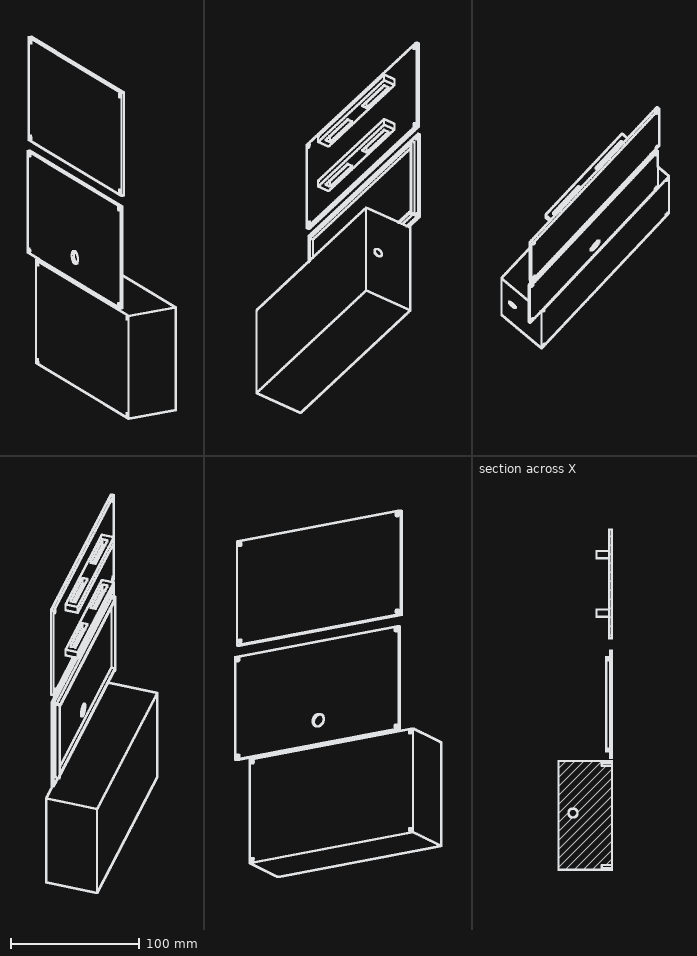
import cadquery as cq

plate_width = 150.0
total_height = 265.5

box_left = 13.3
box_depth = 42.0
box_height = 85.0
box_screw_diameter = 2.18
box_screw_inset = 2.7
box_screw_depth = 8.0
cable_hole_diameter = 7.0
cable_hole_y = 30.5
cable_hole_z = 44.3
cable_hole_depth = 5.3

cover_screw_diameter = 2.7

middle_bottom = 87.0
middle_height = 84.0
middle_thickness = 1.9
middle_screw_inset = 2.5
window_diameter = 10.0
window_x = 76.2
window_z = middle_bottom + 19.5
lip_inset = 5.0
lip_depth = 3.0
lip_width = 1.3

upper_left = 1.5
upper_height = 85.0
upper_bottom = total_height - upper_height
upper_thickness = 2.5
upper_screw_inset = 3.0
bar_length = 90.0
bar_depth = 9.8
bar_height = 5.8
bar_edge_gap = 16.7
slot_length = 30.0
slot_end_gap = 5.0
slot_front = 4.5
slot_depth = 4.2


def block(x, y, z, width, depth, height):
    """Box placed by its left, front, bottom corner."""
    return cq.Workplane("XY").box(width, depth, height, centered=False).translate((x, y, z))


def hole_along_y(x, z, diameter, depth):
    """Cylinder running from the front face (Y = 0) toward +Y."""
    return cq.Workplane("XZ", origin=(x, 0, z)).circle(diameter / 2).extrude(-depth)


def cut_corner_holes(body, left, bottom, height, inset, diameter, depth):
    """Cut a screw hole near each corner of a front face."""
    for x in (left + inset, left + plate_width - inset):
        for z in (bottom + inset, bottom + height - inset):
            body = body.cut(hole_along_y(x, z, diameter, depth))
    return body


def make_box():
    body = block(box_left, 0, 0, plate_width, box_depth, box_height)
    body = cut_corner_holes(
        body, box_left, 0, box_height, box_screw_inset, box_screw_diameter, box_screw_depth
    )
    cable_hole = (
        cq.Workplane("YZ", origin=(box_left, cable_hole_y, cable_hole_z))
        .circle(cable_hole_diameter / 2)
        .extrude(cable_hole_depth)
    )
    return body.cut(cable_hole)


def make_middle_cover():
    body = block(0, 0, middle_bottom, plate_width, middle_thickness, middle_height)

    strip_bottom = middle_bottom + lip_inset
    strip_height = middle_height - 2 * lip_inset
    for x in (lip_inset, plate_width - lip_inset - lip_width):
        body = body.union(
            block(x, middle_thickness, strip_bottom, lip_width, lip_depth, strip_height)
        )
    rail_left = lip_inset + lip_width
    rail_length = plate_width - 2 * rail_left
    rail_bottoms = (strip_bottom + lip_width, strip_bottom + strip_height - 2 * lip_width)
    for z in rail_bottoms:
        body = body.union(
            block(rail_left, middle_thickness, z, rail_length, lip_depth, lip_width)
        )

    body = body.cut(hole_along_y(window_x, window_z, window_diameter, middle_thickness))
    return cut_corner_holes(
        body, 0, middle_bottom, middle_height,
        middle_screw_inset, cover_screw_diameter, middle_thickness,
    )


def make_upper_cover():
    body = block(upper_left, 0, upper_bottom, plate_width, upper_thickness, upper_height)

    bar_left = upper_left + (plate_width - bar_length) / 2
    slot_lefts = (
        bar_left + slot_end_gap,
        bar_left + bar_length - slot_end_gap - slot_length,
    )
    bar_bottoms = (
        upper_bottom + bar_edge_gap,
        total_height - bar_edge_gap - bar_height,
    )
    for z in bar_bottoms:
        bar = block(bar_left, upper_thickness, z, bar_length, bar_depth, bar_height)
        for x in slot_lefts:
            bar = bar.cut(block(x, slot_front, z, slot_length, slot_depth, bar_height))
        body = body.union(bar)

    return cut_corner_holes(
        body, upper_left, upper_bottom, upper_height,
        upper_screw_inset, cover_screw_diameter, upper_thickness,
    )


box = make_box()
middle_cover = make_middle_cover()
upper_cover = make_upper_cover()

bodies = (box, middle_cover, upper_cover)
result = cq.Compound.makeCompound([body.solids().val() for body in bodies])